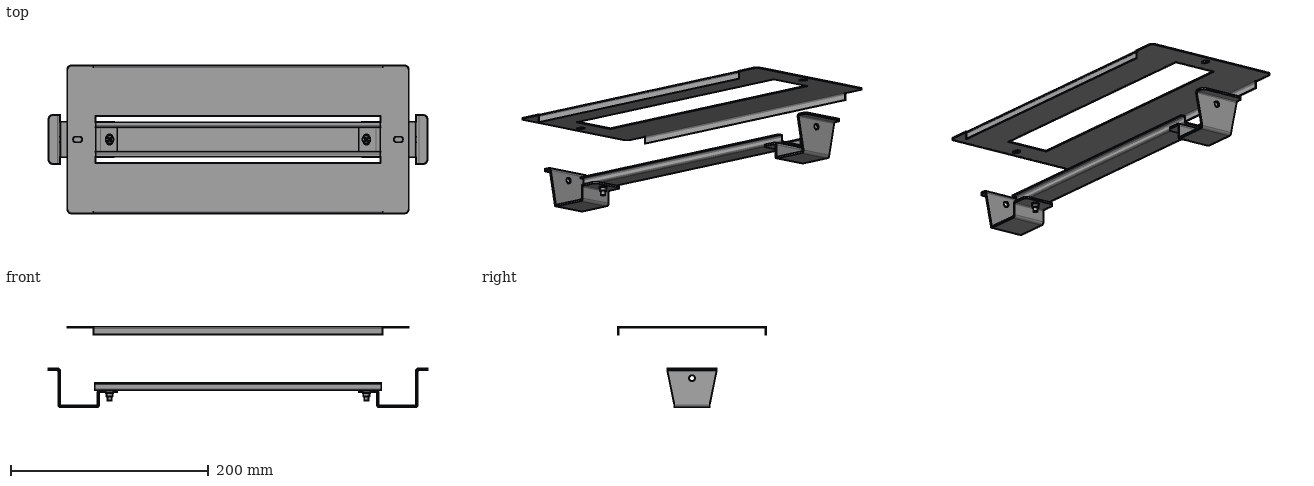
import cadquery as cq

PANEL_LENGTH = 346.0
PANEL_WIDTH = 150.0
PANEL_THICKNESS = 1.0
PANEL_TOP = 81.8
PANEL_CORNER_RADIUS = 5.0
LIP_LENGTH = 292.5
LIP_HEIGHT = 8.0
LIP_BEND_RADIUS = 0.8
WINDOW_LENGTH = 288.0
WINDOW_WIDTH = 47.2
PANEL_SLOT_LENGTH = 9.2
PANEL_SLOT_WIDTH = 5.8
PANEL_SLOT_SPACING = 325.0

OVERALL_LENGTH = 384.0
STRIP_THICKNESS = 2.0
STRIP_BEND_RADIUS = 0.95
OUTER_FLANGE_TOP = 39.5
INNER_FLANGE_TOP = 17.3
OUTER_WALL_FACE = 182.0
INNER_WALL_FACE = 140.5
INNER_FLANGE_END = 122.0
OUTER_FLANGE_WIDTH = 50.0
STRIP_WIDTH = 36.0
FLANGE_CORNER_RADIUS = 5.0
WALL_HOLE_DIAMETER = 5.8
WALL_HOLE_HEIGHT = 29.5

RAIL_LENGTH = 290.3
RAIL_WIDTH = 35.5
RAIL_CHANNEL_WIDTH = 27.0
RAIL_HEIGHT = 7.5
RAIL_THICKNESS = 1.0
RAIL_BEND_RADIUS = 0.8
RAIL_SLOT_LENGTH = 10.5
RAIL_SLOT_WIDTH = 5.8

SCREW_SPACING = 260.0
SCREW_DIAMETER = 4.5
SCREW_END_HEIGHT = 7.0
HEAD_DIAMETER = 8.0
HEAD_HEIGHT = 2.3
HEAD_RIM_HEIGHT = 0.8
CROSS_LENGTH = 4.5
CROSS_WIDTH = 0.8
CROSS_DEPTH = 1.0
NUT_COLLAR_DIAMETER = 7.3
NUT_COLLAR_HEIGHT = 1.0
NUT_BODY_DIAMETER = 6.5
NUT_HEIGHT = 4.5
NUT_CHAMFER = 0.58

SIDES = (-1, 1)
SCREW_X = SCREW_SPACING / 2


def bent_sheet(middle_line, section_plane, section_width, thickness, inner_radius):
    """Sheet of constant thickness swept along its mid-thickness line, with rounded bends."""
    corners = [cq.Vector(*point) for point in middle_line]
    path = cq.Wire.makePolygon(corners).fillet(inner_radius + thickness / 2)
    section = cq.Workplane(section_plane, origin=middle_line[0])
    return section.rect(section_width, thickness).sweep(cq.Workplane(path))


def make_panel():
    bend_depth = PANEL_THICKNESS + LIP_BEND_RADIUS
    half_width = PANEL_WIDTH / 2
    panel = (
        cq.Workplane("XY", origin=(0, 0, PANEL_TOP - PANEL_THICKNESS))
        .rect(PANEL_LENGTH, PANEL_WIDTH)
        .extrude(PANEL_THICKNESS)
        .edges("|Z")
        .fillet(PANEL_CORNER_RADIUS)
    )
    middle_z = PANEL_TOP - PANEL_THICKNESS / 2
    for side in SIDES:
        bend_zone = cq.Workplane("XY").box(LIP_LENGTH, 2 * bend_depth, 2 * PANEL_THICKNESS)
        panel = panel.cut(bend_zone.translate((0, side * half_width, PANEL_TOP)))
        lip_y = side * (half_width - PANEL_THICKNESS / 2)
        lip_line = [
            (0, side * WINDOW_WIDTH, middle_z),
            (0, lip_y, middle_z),
            (0, lip_y, PANEL_TOP - LIP_HEIGHT),
        ]
        panel = panel.union(bent_sheet(lip_line, "XZ", LIP_LENGTH, PANEL_THICKNESS, LIP_BEND_RADIUS))
    window = cq.Workplane("XY").rect(WINDOW_LENGTH, WINDOW_WIDTH).extrude(PANEL_TOP)
    slots = (
        cq.Workplane("XY")
        .rarray(PANEL_SLOT_SPACING, 4, 2, 1)
        .slot2D(PANEL_SLOT_LENGTH, PANEL_SLOT_WIDTH)
        .extrude(PANEL_TOP)
    )
    return panel.cut(window).cut(slots)


def make_bracket(side):
    """Bracket at the -X end (side -1) or the +X end (side 1)."""
    half_thickness = STRIP_THICKNESS / 2
    outer_wall_x = side * (OUTER_WALL_FACE - half_thickness)
    inner_wall_x = side * (INNER_WALL_FACE + half_thickness)
    outer_flange_z = OUTER_FLANGE_TOP - half_thickness
    inner_flange_z = INNER_FLANGE_TOP - half_thickness
    middle_line = [
        (side * OVERALL_LENGTH / 2, 0, outer_flange_z),
        (outer_wall_x, 0, outer_flange_z),
        (outer_wall_x, 0, half_thickness),
        (inner_wall_x, 0, half_thickness),
        (inner_wall_x, 0, inner_flange_z),
        (side * INNER_FLANGE_END, 0, inner_flange_z),
    ]
    strip = bent_sheet(middle_line, "YZ", OUTER_FLANGE_WIDTH, STRIP_THICKNESS, STRIP_BEND_RADIUS)

    bend_depth = STRIP_THICKNESS + STRIP_BEND_RADIUS
    taper_top = OUTER_FLANGE_TOP - bend_depth
    wide = OUTER_FLANGE_WIDTH / 2
    narrow = STRIP_WIDTH / 2
    right_edge = [(narrow, 0), (narrow, bend_depth), (wide, taper_top), (wide, OUTER_FLANGE_TOP)]
    left_edge = [(-y, z) for y, z in reversed(right_edge)]
    wall_start = side * (OUTER_WALL_FACE - bend_depth)
    wall_envelope = (
        cq.Workplane("YZ", origin=(wall_start, 0, 0))
        .polyline(right_edge + left_edge)
        .close()
        .extrude(side * OVERALL_LENGTH / 2 - wall_start)
    )
    narrow_envelope = (
        cq.Workplane("YZ")
        .rect(STRIP_WIDTH, 2 * OUTER_FLANGE_TOP)
        .extrude(wall_start)
    )
    bracket = strip.intersect(wall_envelope.union(narrow_envelope))
    bracket = bracket.edges("|Z").edges("<X or >X").fillet(FLANGE_CORNER_RADIUS)

    wall_hole = (
        cq.Workplane("YZ", origin=(wall_start, 0, WALL_HOLE_HEIGHT))
        .circle(WALL_HOLE_DIAMETER / 2)
        .extrude(side * bend_depth)
    )
    screw_hole = (
        cq.Workplane("XY")
        .center(side * SCREW_X, 0)
        .circle(SCREW_DIAMETER / 2)
        .extrude(INNER_FLANGE_TOP)
    )
    return bracket.cut(wall_hole).cut(screw_hole)


def make_rail():
    half_width = RAIL_WIDTH / 2
    wall_y = (RAIL_CHANNEL_WIDTH - RAIL_THICKNESS) / 2
    brim_z = INNER_FLANGE_TOP + RAIL_HEIGHT - RAIL_THICKNESS / 2
    web_z = INNER_FLANGE_TOP + RAIL_THICKNESS / 2
    middle_line = [
        (0, -half_width, brim_z),
        (0, -wall_y, brim_z),
        (0, -wall_y, web_z),
        (0, wall_y, web_z),
        (0, wall_y, brim_z),
        (0, half_width, brim_z),
    ]
    rail = bent_sheet(middle_line, "XZ", RAIL_LENGTH, RAIL_THICKNESS, RAIL_BEND_RADIUS)
    slots = (
        cq.Workplane("XY")
        .rarray(SCREW_SPACING, 4, 2, 1)
        .slot2D(RAIL_SLOT_LENGTH, RAIL_SLOT_WIDTH, 90)
        .extrude(INNER_FLANGE_TOP + RAIL_HEIGHT)
    )
    return rail.cut(slots)


def make_screw(side):
    """Domed screw with a cross recess, its head seated on the web of the rail."""
    seat = INNER_FLANGE_TOP + RAIL_THICKNESS
    head_radius = HEAD_DIAMETER / 2
    shank_radius = SCREW_DIAMETER / 2
    dome_rise = HEAD_HEIGHT - HEAD_RIM_HEIGHT
    dome_radius = (head_radius**2 + dome_rise**2) / (2 * dome_rise)
    rim_top = seat + HEAD_RIM_HEIGHT
    head_top = seat + HEAD_HEIGHT
    middle_radius = head_radius / 2
    middle_top = head_top - dome_radius + (dome_radius**2 - middle_radius**2) ** 0.5
    screw = (
        cq.Workplane("XZ")
        .moveTo(0, SCREW_END_HEIGHT)
        .lineTo(shank_radius, SCREW_END_HEIGHT)
        .lineTo(shank_radius, seat)
        .lineTo(head_radius, seat)
        .lineTo(head_radius, rim_top)
        .threePointArc((middle_radius, middle_top), (0, head_top))
        .close()
        .revolve(360, (0, 0, 0), (0, 1, 0))
    )
    cross_bottom = cq.Workplane("XY", origin=(0, 0, head_top - CROSS_DEPTH))
    for angle in (-45, 45):
        bar = cross_bottom.transformed((0, 0, angle)).rect(CROSS_LENGTH, CROSS_WIDTH).extrude(CROSS_DEPTH)
        screw = screw.cut(bar)
    return screw.translate((side * SCREW_X, 0, 0))


def make_nut(side):
    """Collared round nut under the inner flange of a bracket, chamfered at its free end."""
    seat = cq.Workplane("XY", origin=(side * SCREW_X, 0, INNER_FLANGE_TOP - STRIP_THICKNESS))
    body = seat.circle(NUT_BODY_DIAMETER / 2).extrude(-NUT_HEIGHT).edges("<Z").chamfer(NUT_CHAMFER)
    collar = seat.circle(NUT_COLLAR_DIAMETER / 2).extrude(-NUT_COLLAR_HEIGHT)
    bore = seat.circle(SCREW_DIAMETER / 2).extrude(-NUT_HEIGHT)
    return body.union(collar).cut(bore)


panel = make_panel()
rail = make_rail()
brackets = [make_bracket(side) for side in SIDES]
screws = [make_screw(side) for side in SIDES]
nuts = [make_nut(side) for side in SIDES]

bodies = [panel, rail, *brackets, *screws, *nuts]
result = cq.Compound.makeCompound([body.solids().val() for body in bodies])